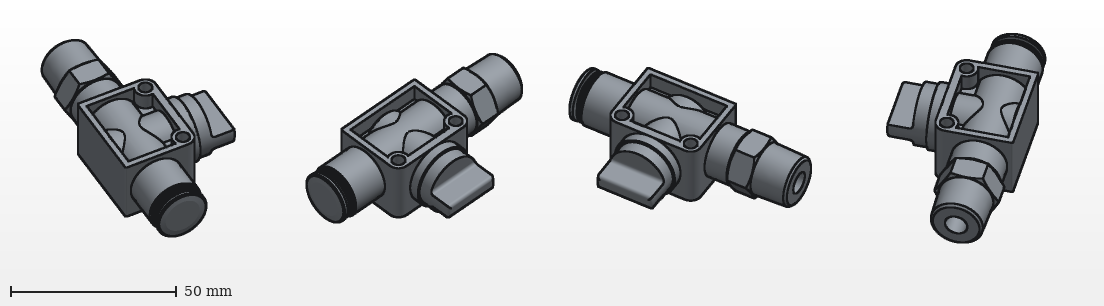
import cadquery as cq
import math


overall_length = 76.0

body_half_width = 15.5
body_height = 21.0
body_front = -body_height / 2
body_back = 14.5
front_edge_radius = 0.5
lug_radius = 3.5
lug_hole_diameter = 4.2
lug_x = body_half_width - lug_radius
lug_y = body_back - lug_radius

side_wall = 2.1
back_wall = 2.8
pocket_floor = 5.0
pocket_half_width = body_half_width - side_wall
pocket_front = body_front + side_wall
pocket_back = body_back - back_wall

barrel_diameter = 17.5
housing_diameter = 16.5
housing_front = -7.5
housing_plug_diameter = 13.2

handle_base_diameter = body_height
handle_base_back = 17.85
knob_diameter = 19.5
knob_back = 22.35
handle_tip = 30.5
grip_thickness = 4.9
grip_tip_radius = 1.15
grip_root_radius = 1.15

thread_start = -43.5
thread_tip_radius = 8.1
thread_root_radius = 8.5
thread_chamfer = 0.8
hex_start = -31.5
hex_end = -23.5
hex_sides = 6
hex_flats = barrel_diameter
hex_corner_radius = hex_flats / math.sqrt(3)
hex_end_radius = 8.6
hex_chamfer_angle = 25.0
barrel_start = -23.2
bore_diameter = 7.0

barrel_end = 27.6
bevel = 0.2
ring_radius = 16.5 / 2
ring_width = 0.9
first_ring_start = barrel_end + bevel
ring_starts = (first_ring_start, first_ring_start + ring_width)
groove_radius = ring_radius - bevel
neck_radius = 11.6 / 2
neck_start = ring_starts[-1] + ring_width
collar_radius = 16.8 / 2
collar_start = 30.8
collar_rim_end = 31.9
collar_shoulder = 32.2
collar_shoulder_radius = 8.0
collar_end = thread_start + overall_length


def rod_x(diameter, start, end):
    """Round rod along the pipe axis."""
    return cq.Workplane("YZ", origin=(start, 0, 0)).circle(diameter / 2).extrude(end - start)


def rod_y(diameter, start, end):
    """Round rod along the stem axis."""
    return cq.Workplane("XZ", origin=(0, start, 0)).circle(diameter / 2).extrude(start - end)


def turned_x(profile):
    """Solid turned about the pipe axis from (x, radius) points."""
    outline = [(profile[0][0], 0), *profile, (profile[-1][0], 0)]
    return cq.Workplane("XY").polyline(outline).close().revolve(360, (0, 0, 0), (1, 0, 0))


def block(x_half, y_start, y_end, z_start, z_end):
    """Box that is symmetric in X."""
    size = (2 * x_half, y_end - y_start, z_end - z_start)
    corner = cq.Vector(-x_half, y_start, z_start)
    return cq.Workplane("XY").add(cq.Solid.makeBox(*size, corner))


def lug_cylinders(diameter, z_start):
    """Upright cylinders at both mounting lugs, up to the upper face."""
    centers = [(-lug_x, lug_y), (lug_x, lug_y)]
    plane = cq.Workplane("XY", origin=(0, 0, z_start))
    return plane.pushPoints(centers).circle(diameter / 2).extrude(body_height / 2 - z_start)


def make_body():
    half_height = body_height / 2
    body = block(body_half_width, body_front, body_back, -half_height, half_height)
    body = body.edges("|Z and >Y").fillet(lug_radius)
    body = body.edges("|Z and <Y").fillet(front_edge_radius)
    pocket = block(pocket_half_width, pocket_front, pocket_back, pocket_floor, half_height)
    pocket = pocket.cut(lug_cylinders(2 * lug_radius, pocket_floor))
    body = body.cut(pocket)
    body = body.union(rod_y(housing_diameter, housing_front, pocket_back))
    return body.union(rod_y(housing_plug_diameter, pocket_front, housing_front))


def make_handle():
    base = rod_y(handle_base_diameter, body_back, handle_base_back)
    knob = rod_y(knob_diameter, handle_base_back, knob_back)
    half_grip = grip_thickness / 2
    slab = block(knob_diameter, knob_back, handle_tip, -half_grip, half_grip)
    grip = rod_y(knob_diameter, knob_back, handle_tip).intersect(slab)
    grip = grip.faces(">Y").edges().fillet(grip_tip_radius)

    blend_top = knob_back + grip_root_radius
    blend_half = half_grip + grip_root_radius
    blend = block(knob_diameter, knob_back, blend_top, -blend_half, blend_half)
    blend = blend.intersect(rod_y(knob_diameter, knob_back, blend_top))
    for side in (-1, 1):
        hollow = cq.Workplane("YZ", origin=(-knob_diameter, blend_top, side * blend_half))
        blend = blend.cut(hollow.circle(grip_root_radius).extrude(2 * knob_diameter))
    return base.union(knob).union(grip).union(blend)


def make_adapter():
    thread = turned_x([
        (thread_start, thread_tip_radius - thread_chamfer),
        (thread_start + thread_chamfer, thread_tip_radius),
        (hex_start, thread_root_radius),
    ])
    hexagon = cq.Workplane("YZ", origin=(hex_start, 0, 0))
    hexagon = hexagon.polygon(hex_sides, 2 * hex_corner_radius).extrude(hex_end - hex_start)
    corner_rise = hex_corner_radius - hex_end_radius
    chamfer_length = corner_rise * math.tan(math.radians(hex_chamfer_angle))
    hexagon = hexagon.intersect(turned_x([
        (hex_start, hex_end_radius),
        (hex_start + chamfer_length, hex_corner_radius),
        (hex_end - chamfer_length, hex_corner_radius),
        (hex_end, hex_end_radius),
    ]))
    collar = rod_x(2 * hex_end_radius, hex_end, barrel_start)
    return thread.union(hexagon).union(collar)


def make_barrel():
    return rod_x(barrel_diameter, barrel_start, barrel_end)


def make_push_in_end():
    profile = [(barrel_end, barrel_diameter / 2)]
    for start in ring_starts:
        profile += [
            (start, groove_radius),
            (start + bevel, ring_radius),
            (start + ring_width - bevel, ring_radius),
        ]
    profile += [
        (neck_start, groove_radius),
        (neck_start, neck_radius),
        (collar_start, neck_radius),
        (collar_start, collar_radius),
        (collar_rim_end, collar_radius),
        (collar_shoulder, collar_shoulder_radius),
        (collar_end, neck_radius),
    ]
    return turned_x(profile)


result = make_body()
for piece in (make_handle(), make_barrel(), make_adapter(), make_push_in_end()):
    result = result.union(piece)

result = result.cut(lug_cylinders(lug_hole_diameter, -body_height / 2))
result = result.cut(rod_x(bore_diameter, thread_start, barrel_start))